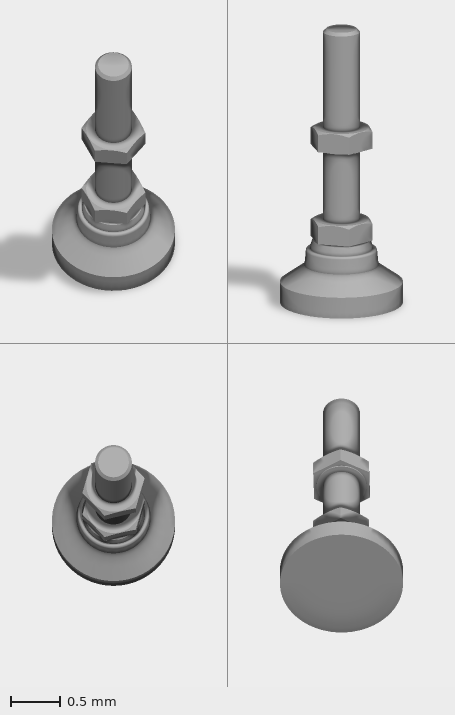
import cadquery as cq
import math

TOTAL_HEIGHT = 2.88

FOOT_RADIUS = 0.625
RIM_HEIGHT = 0.22
FLANGE_TOP_Z = 0.395
COLLAR_BOTTOM_RADIUS = 0.377
COLLAR_TOP_RADIUS = 0.36
COLLAR_TOP_Z = 0.57
LIP_ROUND = 0.025

BALL_RADIUS = 0.323
BALL_CENTRE_Z = 0.53
HEAD_TOP_Z = 0.657

HEX_WIDTH = 0.565
HEX_HEIGHT = 0.207
FACE_RADIUS = 0.253
FACE_HEIGHT = 0.015
CHAMFER_CIRCLE_RADIUS = 0.276
CHAMFER_ANGLE = 30.0

ROD_RADIUS = 0.187
ROD_TIP_CHAMFER = 0.032

NUT_BOTTOM_Z = 1.625


def cylinder(radius, bottom_z, height):
    return cq.Workplane("XY").workplane(offset=bottom_z).circle(radius).extrude(height)


def ball_head():
    """Flat-topped ball that fills the socket in the foot and stands proud of it."""
    ball = cq.Workplane("XY").sphere(BALL_RADIUS).translate((0, 0, BALL_CENTRE_Z))
    return ball.intersect(cylinder(FOOT_RADIUS, 0, HEAD_TOP_Z))


def faced_hexagon(bottom_z):
    """Hexagon with a round face below it and its top corners turned to a cone."""
    hex_bottom_z = bottom_z + FACE_HEIGHT
    hex_top_z = hex_bottom_z + HEX_HEIGHT
    corner_diameter = HEX_WIDTH / math.cos(math.radians(30))
    hexagon = (
        cq.Workplane("XY")
        .workplane(offset=hex_bottom_z)
        .transformed(rotate=(0, 0, 90))
        .polygon(6, corner_diameter)
        .extrude(HEX_HEIGHT)
    )
    cone_outer_radius = HEX_WIDTH
    cone_drop = (cone_outer_radius - CHAMFER_CIRCLE_RADIUS) * math.tan(math.radians(CHAMFER_ANGLE))
    turned_envelope = (
        cq.Workplane("XZ")
        .moveTo(0, hex_bottom_z)
        .lineTo(cone_outer_radius, hex_bottom_z)
        .lineTo(cone_outer_radius, hex_top_z - cone_drop)
        .lineTo(CHAMFER_CIRCLE_RADIUS, hex_top_z)
        .lineTo(0, hex_top_z)
        .close()
        .revolve(360, (0, 0), (0, 1))
    )
    face = cylinder(FACE_RADIUS, bottom_z, FACE_HEIGHT)
    return hexagon.intersect(turned_envelope).union(face)


def make_foot():
    body = (
        cq.Workplane("XZ")
        .lineTo(FOOT_RADIUS, 0)
        .lineTo(FOOT_RADIUS, RIM_HEIGHT)
        .lineTo(COLLAR_BOTTOM_RADIUS, FLANGE_TOP_Z)
        .lineTo(COLLAR_TOP_RADIUS, COLLAR_TOP_Z)
        .lineTo(0, COLLAR_TOP_Z)
        .close()
        .revolve(360, (0, 0), (0, 1))
        .faces(">Z")
        .edges()
        .fillet(LIP_ROUND)
    )
    return body.cut(ball_head())


def make_stud():
    rod = cylinder(ROD_RADIUS, HEAD_TOP_Z, TOTAL_HEIGHT - HEAD_TOP_Z)
    rod = rod.faces(">Z").chamfer(ROD_TIP_CHAMFER)
    return ball_head().union(faced_hexagon(HEAD_TOP_Z)).union(rod)


def make_lock_nut():
    bore = cylinder(ROD_RADIUS, 0, TOTAL_HEIGHT)
    return faced_hexagon(NUT_BOTTOM_Z).cut(bore)


foot = make_foot()
stud = make_stud()
lock_nut = make_lock_nut()

result = cq.Compound.makeCompound([foot.val(), stud.val(), lock_nut.val()])